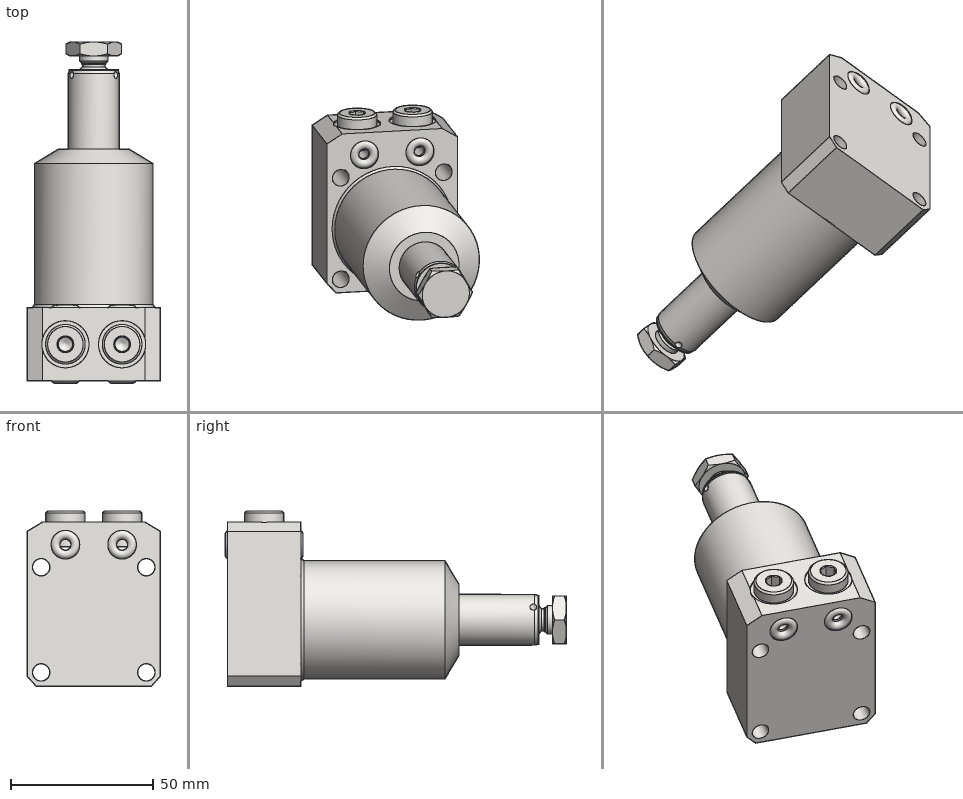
import cadquery as cq
import math


block_width = 47.0
block_thickness = 25.9
block_bottom_z = -23.5
block_top_z = 34.5
top_chamfer_x = 5.5
top_chamfer_z = 3.4
bottom_chamfer_x = 3.2
bottom_chamfer_z = 3.6
mount_hole_offset = 18.5
mount_hole_diameter = 6.0

port_x = 10.0
port_z = 26.5
ring_outer_diameter = 10.1
ring_hole_diameter = 3.8
ring_protrusion = 0.8
ring_tube_radius = (ring_outer_diameter - ring_hole_diameter) / 4
ring_mean_radius = (ring_outer_diameter + ring_hole_diameter) / 4
ring_depth = ring_tube_radius - ring_protrusion
recess_depth = 2 * ring_tube_radius - ring_protrusion

plug_y = block_thickness / 2
plug_top_z = 38.4
plug_tip_z = 25.7
plug_head_diameter = 14.0
plug_chamfer = 0.7
plug_shank_diameter = 9.7
spotface_diameter = 16.6
spotface_depth = 0.6
socket_flats = 5.0
socket_corner_diameter = socket_flats / math.cos(math.pi / 6)
socket_depth = 4.8
socket_mouth_diameter = 5.9
drill_point_angle = 120

barrel_radius = 20.9
collar_radius = 21.6
collar_length = 1.1
barrel_cone_radius = 12.5
barrel_cone_length = 5.0
barrel_end_y = 81.6

rod_radius = 9.0
rod_tip_radius = 8.7
rod_chamfer_length = 1.1
rod_tip_length = 0.5
rod_end_y = 109.8
dimple_diameter = 2.6
dimple_depth = dimple_diameter / 2
dimple_setback = 1.9
dimple_angles = (30, 150, 270)

overall_length = 120.2
screw_end_y = overall_length - ring_protrusion
head_flats = 17.0
head_corner_diameter = head_flats / math.cos(math.pi / 6)
head_thickness = 4.9
head_chamfer_angle = 30
washer_radius = 5.0
washer_length = 1.8
washer_chamfer_length = 0.6
shoulder_radius = 4.3
neck_radius = 4.0
shoulder_length = 0.4
neck_step = 0.2
flare_radius = 4.9
flare_length = 0.8

port_positions = [(-port_x, port_z), (port_x, port_z)]
plug_positions = [(-port_x, plug_y), (port_x, plug_y)]


def along_y(y):
    """Workplane at depth y with local axes X and Z; negative extrusions run toward +Y."""
    return cq.Workplane("XZ", origin=(0, y, 0))


def cylinders_along_y(points, diameter, start_y, end_y):
    """Cylinders parallel to Y through the given (x, z) points."""
    return along_y(start_y).pushPoints(points).circle(diameter / 2).extrude(start_y - end_y)


def make_block():
    side_x = block_width / 2
    right_outline = [
        (side_x - bottom_chamfer_x, block_bottom_z),
        (side_x, block_bottom_z + bottom_chamfer_z),
        (side_x, block_top_z - top_chamfer_z),
        (side_x - top_chamfer_x, block_top_z),
    ]
    left_outline = [(-x, z) for x, z in reversed(right_outline)]
    block = along_y(0).polyline(right_outline + left_outline).close().extrude(-block_thickness)
    mount_points = [
        (x, z)
        for x in (-mount_hole_offset, mount_hole_offset)
        for z in (-mount_hole_offset, mount_hole_offset)
    ]
    return block.cut(cylinders_along_y(mount_points, mount_hole_diameter, 0, block_thickness))


def make_port_cuts():
    """Through ports with an O-ring recess at both ends, and spotfaces around the plugs."""
    ports = cylinders_along_y(port_positions, ring_hole_diameter, 0, block_thickness)
    front_recesses = cylinders_along_y(port_positions, ring_outer_diameter, 0, recess_depth)
    back_recesses = cylinders_along_y(
        port_positions, ring_outer_diameter, block_thickness - recess_depth, block_thickness
    )
    spotfaces = (
        cq.Workplane("XY", origin=(0, 0, block_top_z - spotface_depth))
        .pushPoints(plug_positions)
        .circle(spotface_diameter / 2)
        .extrude(plug_top_z - block_top_z)
    )
    return ports.union(front_recesses).union(back_recesses).union(spotfaces)


def make_plug(x, y):
    """Plug with a chamfered head above the spotface and a shank reaching into the port."""
    seat_z = block_top_z - spotface_depth
    head = (
        cq.Workplane("XY", origin=(x, y, seat_z))
        .circle(plug_head_diameter / 2)
        .extrude(plug_top_z - seat_z)
        .faces(">Z")
        .chamfer(plug_chamfer)
    )
    shank = (
        cq.Workplane("XY", origin=(x, y, plug_tip_z))
        .circle(plug_shank_diameter / 2)
        .extrude(seat_z - plug_tip_z)
    )
    return head.union(shank)


def make_socket(x, y):
    """Hexagon socket with corners toward +Y and -Y, a countersunk mouth and a drill point."""
    hexagon = (
        cq.Workplane("XY", origin=(x, y, plug_top_z))
        .transformed(rotate=(0, 0, 90))
        .polygon(6, socket_corner_diameter)
        .extrude(-socket_depth)
    )
    point_length = socket_flats / 2 / math.tan(math.radians(drill_point_angle / 2))
    drill_point = cq.Solid.makeCone(
        socket_flats / 2,
        0,
        point_length,
        pnt=cq.Vector(x, y, plug_top_z - socket_depth),
        dir=cq.Vector(0, 0, -1),
    )
    mouth_radius = socket_mouth_diameter / 2
    countersink = cq.Solid.makeCone(
        mouth_radius,
        socket_flats / 2,
        mouth_radius - socket_flats / 2,
        pnt=cq.Vector(x, y, plug_top_z),
        dir=cq.Vector(0, 0, -1),
    )
    return hexagon.union(cq.Workplane(drill_point)).union(cq.Workplane(countersink))


def revolve_about_y(profile):
    """Solid of revolution about the Y axis from (radius, y) points, closed along the axis."""
    axis_points = [(0, profile[-1][1]), (0, profile[0][1])]
    outline = cq.Workplane("XY").polyline(profile + axis_points).close()
    return outline.revolve(360, (0, 0, 0), (0, 1, 0))


def make_barrel():
    return revolve_about_y([
        (collar_radius, block_thickness),
        (barrel_radius, block_thickness + collar_length),
        (barrel_radius, barrel_end_y - barrel_cone_length),
        (barrel_cone_radius, barrel_end_y),
    ])


def make_dimple(angle):
    """Conical pit pointing at the rod axis, extended outward past the rod surface."""
    outward = cq.Vector(math.cos(math.radians(angle)), 0, math.sin(math.radians(angle)))
    tip = outward * (rod_radius - dimple_depth) + cq.Vector(0, rod_end_y - dimple_setback, 0)
    cone = cq.Solid.makeCone(0, dimple_diameter, 2 * dimple_depth, pnt=tip, dir=outward)
    return cq.Workplane(cone)


def make_rod():
    rod = revolve_about_y([
        (rod_radius, barrel_end_y),
        (rod_radius, rod_end_y - rod_tip_length - rod_chamfer_length),
        (rod_tip_radius, rod_end_y - rod_tip_length),
        (rod_tip_radius, rod_end_y),
    ])
    for angle in dimple_angles:
        rod = rod.cut(make_dimple(angle))
    return rod


def make_screw():
    """Neck, washer face and chamfered hexagon head with flats toward +Z and -Z."""
    head_start_y = screw_end_y - head_thickness
    washer_start_y = head_start_y - washer_length
    shoulder_end_y = washer_start_y - washer_chamfer_length
    shoulder_start_y = shoulder_end_y - shoulder_length
    neck = revolve_about_y([
        (flare_radius, rod_end_y),
        (neck_radius, rod_end_y + flare_length),
        (neck_radius, shoulder_start_y - neck_step),
        (shoulder_radius, shoulder_start_y),
        (shoulder_radius, shoulder_end_y),
        (washer_radius, washer_start_y),
        (washer_radius, head_start_y),
    ])
    hexagon = along_y(head_start_y).polygon(6, head_corner_diameter).extrude(-head_thickness)
    chamfer_width = (head_corner_diameter - head_flats) / 2
    chamfer_length = chamfer_width * math.tan(math.radians(head_chamfer_angle))
    chamfer_envelope = revolve_about_y([
        (head_flats / 2, head_start_y),
        (head_corner_diameter / 2, head_start_y + chamfer_length),
        (head_corner_diameter / 2, screw_end_y - chamfer_length),
        (head_flats / 2, screw_end_y),
    ])
    return neck.union(hexagon.intersect(chamfer_envelope))


def make_clamp_body():
    """The block with its plugs, barrel, rod and screw as one solid."""
    body = make_block().union(make_barrel()).cut(make_port_cuts())
    for x, y in plug_positions:
        body = body.union(make_plug(x, y)).cut(make_socket(x, y))
    return body.union(make_rod()).union(make_screw())


def make_ring(x, y, z):
    return cq.Solid.makeTorus(
        ring_mean_radius, ring_tube_radius, cq.Vector(x, y, z), cq.Vector(0, 1, 0)
    )


clamp_body = make_clamp_body()

o_rings = []
for ring_y in (ring_depth, block_thickness - ring_depth):
    for ring_x, ring_z in port_positions:
        o_rings.append(make_ring(ring_x, ring_y, ring_z))

result = cq.Compound.makeCompound([clamp_body.solids().val(), *o_rings])